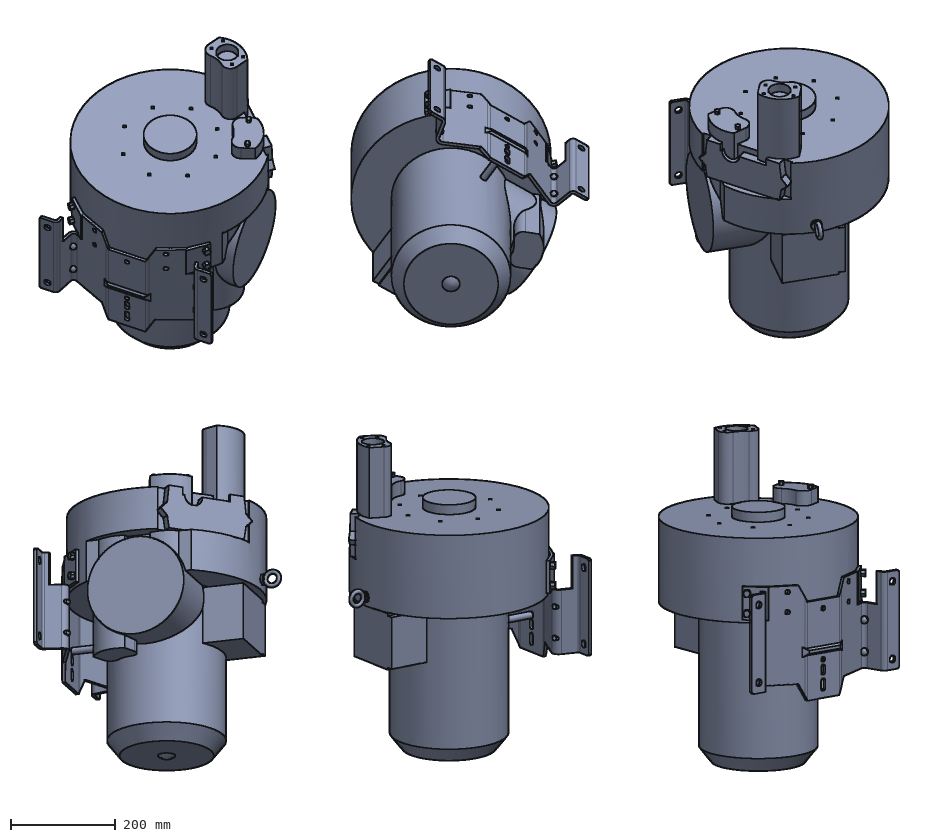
import cadquery as cq
import math

total_height = 626.0
joint_depth = 6.0
drum_radius = 191.0
drum_bottom = 320.0
drum_top = 486.0
hub_radius = 51.0
hub_top = 505.0
motor_radius = 114.0
motor_taper_top = 37.0
motor_end_radius = 90.0
motor_bottom = 7.0
tip_radius = 17.0
cover_hole_count = 8
cover_hole_circle = 96.0
cover_hole_diameter = 6.0
cover_hole_depth = 9.5

recess_floor = 401.0
recess_distance = 159.5
port_plate_thickness = 18.0
port_plate_half_length = 97.0
port_plate_tip_height = 439.5
port_plate_tip_chamfer = 14.0
port_plate_shoulder = 79.5
port_plate_top = 487.0
port_plate_saddle_top = 472.5
port_plate_saddle_half_length = 50.0
port_notch_offset = -27.5
port_notch_radius = 19.0
side_flat_x = 158.5

block_distance = 149.0
block_side_angle = 22.5
block_half_width = 40.0
block_outer_corner = 15.5
block_outer_crown = 30.0
block_lobe_radius = 18.0
block_lobe_bottom = 30.5
block_lobe_end_angle = 20.0
block_waist = 27.0
tall_bore_radius = 21.0
tall_bore_depth = 19.0
tall_hole_diameter = 5.0
tall_hole_depth = 12.5
tall_hole_pitch_across = 57.0
tall_hole_pitch_radial = 29.5
short_block_top = 515.0
short_bolt_offset = 32.0
short_bolt_diameter = 10.0
short_bolt_height = 7.0
lower_block_bottom = 174.5

cover_disc_radius = 97.5
cover_disc_height = 295.0
cover_disc_end = 177.0
terminal_bottom = 203.5
terminal_top = 315.5
terminal_back = 178.0
terminal_half_width = 62.5
terminal_lid_depth = 13.0
terminal_lid_inset = 4.5

eye_height = 340.0
eye_center_y = 214.0
eye_ring_radius = 14.0
eye_wire_radius = 4.5
eye_collar_radius = 10.5
eye_collar_start = 194.0
eye_collar_thickness = 4.5
eye_stem_radius = 4.5

sheet = 6.0
middle_y = -195.0
middle_half_width = 41.5
peak_x = 133.5
peak_y = -152.0
foot_bend_x = 146.0
foot_y = -202.0
foot_end_x = 181.0
wide_bend_radius = 7.5
foot_bend_radius = 4.0
wing_bottom = 198.5
wing_top = 392.0
middle_drop = 34.0
wing_inner_x = 56.0
middle_edge_x = 39.0
foot_corner = 4.0
notch_inner_x = 109.0
notch_outer_x = 150.0
notch_depth_y = -187.0
notch_bottom = 327.0
tab_start = -40.0
tab_end = 9.5
tab_thickness = 6.0
tab_overlap = 0.5
tab_bolt_diameter = 14.5
tab_bolt_height = 9.0
bolt_levels = (340.5, 380.0)
wing_hole_x = 75.0
wing_hole_diameter = 9.0
dimple_x = 130.0
dimple_levels = (230.5, 293.0)
dimple_bump_y = -161.0
dimple_bump_radius = 7.5
dimple_dent_y = -154.5
dimple_dent_radius = 5.0
foot_hole_x = 164.0
foot_hole_diameter = 14.0
foot_hole_levels = (219.0, 371.0)
middle_hole_diameter = 9.5
middle_hole_levels = (240.5, 340.5)
slot_width = 10.0
slots = ((220.5, 20.0), (191.0, 24.5))
ridge_level = 260.5
ridge_base = (97.5, 20.0)
ridge_crest = (76.5, 6.0)
ridge_height = 4.5
rod_radius = 7.0
rod_level = 239.0


def cylinder(radius, bottom, top, x=0.0):
    return cq.Workplane("XY", origin=(x, 0, bottom)).circle(radius).extrude(top - bottom)


def box(x_range, y_range, z_range):
    size = [high - low for low, high in (x_range, y_range, z_range)]
    corner = (x_range[0], y_range[0], z_range[0])
    return cq.Workplane("XY").box(*size, centered=False).translate(corner)


def sphere(radius, x, y, z):
    return cq.Workplane("XY", origin=(x, y, z)).sphere(radius)


def hole_through_y(x, z, diameter):
    """Round cutter along Y that reaches only the bracket sheet."""
    start = foot_y - sheet
    length = peak_y + sheet - start
    return cq.Workplane("XZ", origin=(x, start, z)).circle(diameter / 2).extrude(-length)


def turned_body():
    drum = cylinder(drum_radius, drum_bottom, drum_top)
    hub = cylinder(hub_radius, drum_top, hub_top)
    motor = (
        cq.Workplane("XZ")
        .moveTo(0, 0)
        .threePointArc((tip_radius / 2, motor_bottom / 4), (tip_radius, motor_bottom))
        .lineTo(motor_end_radius, motor_bottom)
        .lineTo(motor_radius, motor_taper_top)
        .lineTo(motor_radius, drum_bottom)
        .lineTo(0, drum_bottom)
        .close()
        .revolve(360, (0, 0, 0), (0, 1, 0))
    )
    holes = (
        cq.Workplane("XY", origin=(0, 0, drum_top - cover_hole_depth))
        .polarArray(cover_hole_circle, 0, 360, cover_hole_count)
        .circle(cover_hole_diameter / 2)
        .extrude(cover_hole_depth)
    )
    flat = box((side_flat_x, drum_radius), (-drum_radius, drum_radius), (drum_bottom, recess_floor))
    half = port_plate_half_length
    recess = box((recess_distance, drum_radius), (-half, half), (recess_floor, drum_top))
    recess = recess.rotate((0, 0, 0), (0, 0, 1), 45)
    return drum.cut(flat).cut(recess).union(hub).union(motor).cut(holes)


def port_plate():
    """Plate with pointed ends, a lower saddle and a round notch, turned to face +X +Y."""
    tip_base = port_plate_half_length - port_plate_tip_chamfer
    right_edge = [
        (port_plate_shoulder, recess_floor),
        (tip_base, port_plate_tip_height - port_plate_tip_chamfer),
        (port_plate_half_length, port_plate_tip_height),
        (tip_base, port_plate_tip_height + port_plate_tip_chamfer),
        (port_plate_shoulder, port_plate_top),
        (port_plate_saddle_half_length, port_plate_top),
        (port_plate_saddle_half_length, port_plate_saddle_top),
    ]
    left_edge = [(-y, z) for y, z in reversed(right_edge)]
    face = cq.Workplane("YZ", origin=(recess_distance, 0, 0))
    plate = face.polyline(right_edge + left_edge).close().extrude(port_plate_thickness)
    notch = (
        face.center(port_notch_offset, port_plate_saddle_top)
        .circle(port_notch_radius)
        .extrude(port_plate_thickness)
    )
    return plate.cut(notch).rotate((0, 0, 0), (0, 0, 1), 45)


def block_outline(bottom):
    """Bean outline on the +X axis: crowned outside, two lobes joined by a waist inside."""
    lobe_y = block_half_width - block_lobe_radius
    lobe_x = block_lobe_radius - block_lobe_bottom

    def on_lobe(degrees):
        angle = math.radians(degrees)
        x = lobe_x - block_lobe_radius * math.cos(angle)
        return (x, lobe_y - block_lobe_radius * math.sin(angle))

    lobe_side = (lobe_x, block_half_width)
    lobe_middle = on_lobe(-45)
    lobe_end = on_lobe(block_lobe_end_angle)

    def mirrored(point):
        return (point[0], -point[1])

    return (
        cq.Workplane("XY", origin=(block_distance, 0, bottom))
        .moveTo(block_outer_corner, -block_half_width)
        .threePointArc((block_outer_crown, 0), (block_outer_corner, block_half_width))
        .lineTo(*lobe_side)
        .threePointArc(lobe_middle, lobe_end)
        .threePointArc((-block_waist, 0), mirrored(lobe_end))
        .threePointArc(mirrored(lobe_middle), mirrored(lobe_side))
        .close()
    )


def tall_block():
    block = block_outline(drum_bottom).extrude(total_height - drum_bottom)
    bore = cylinder(tall_bore_radius, total_height - tall_bore_depth, total_height, block_distance)
    holes = (
        cq.Workplane("XY", origin=(block_distance, 0, total_height))
        .rect(tall_hole_pitch_radial, tall_hole_pitch_across, forConstruction=True)
        .vertices()
        .circle(tall_hole_diameter / 2)
        .extrude(-tall_hole_depth)
    )
    return block.cut(bore).cut(holes).rotate((0, 0, 0), (0, 0, 1), 45 + block_side_angle)


def short_block():
    block = block_outline(drum_bottom).extrude(short_block_top - drum_bottom)
    bolts = (
        cq.Workplane("XY", origin=(block_distance, 0, short_block_top))
        .pushPoints([(0, -short_bolt_offset), (0, short_bolt_offset)])
        .polygon(6, short_bolt_diameter)
        .extrude(short_bolt_height)
    )
    return block.union(bolts).rotate((0, 0, 0), (0, 0, 1), 45 - block_side_angle)


def lower_block():
    """Block below the drum, on the other side of the X axis from the short block."""
    block = block_outline(lower_block_bottom).extrude(recess_floor - lower_block_bottom)
    return block.rotate((0, 0, 0), (0, 0, 1), block_side_angle - 45)


def cover_disc():
    """Round cover on the +X side of the motor."""
    start = motor_radius / 2
    return (
        cq.Workplane("YZ", origin=(start, 0, cover_disc_height))
        .circle(cover_disc_radius)
        .extrude(cover_disc_end - start)
    )


def terminal_box():
    """Box on the +Y side of the motor with a slightly lower lid on its -X face."""
    y_range = (0, terminal_back)
    body_start = terminal_lid_depth - terminal_half_width
    body = box((body_start, terminal_half_width), y_range, (terminal_bottom, terminal_top))
    lid_range = (terminal_bottom + terminal_lid_inset, terminal_top - terminal_lid_inset)
    lid = box((-terminal_half_width, body_start), y_range, lid_range)
    return body.union(lid)


def lifting_eye():
    ring_center = (0, eye_center_y, eye_height)
    ring = cq.Workplane(
        cq.Solid.makeTorus(eye_ring_radius, eye_wire_radius, cq.Vector(*ring_center), cq.Vector(1, 0, 0))
    )
    stem_start = drum_radius - joint_depth
    stem_length = eye_center_y - eye_ring_radius - stem_start
    stem = (
        cq.Workplane("XZ", origin=(0, stem_start, eye_height))
        .circle(eye_stem_radius)
        .extrude(-stem_length)
    )
    collar = (
        cq.Workplane("XZ", origin=(0, eye_collar_start, eye_height))
        .circle(eye_collar_radius)
        .extrude(-eye_collar_thickness)
    )
    return ring.union(stem).union(collar)


def offset_path(path, distance):
    """Shift an open path sideways by a distance, with mitred corners."""
    angles = [math.atan2(b[1] - a[1], b[0] - a[0]) for a, b in zip(path, path[1:])]
    before = [angles[0]] + angles
    after = angles + [angles[-1]]
    shifted = []
    for (x, y), first, second in zip(path, before, after):
        direction = (first + second) / 2 + math.pi / 2
        reach = distance / math.cos((second - first) / 2)
        shifted.append((x + reach * math.cos(direction), y + reach * math.sin(direction)))
    return shifted


def bracket_sheet():
    right_side = [
        (middle_half_width, middle_y),
        (peak_x, peak_y),
        (foot_bend_x, foot_y),
        (foot_end_x, foot_y),
    ]
    path = [(-x, y) for x, y in reversed(right_side)] + right_side
    upper = offset_path(path, sheet / 2)
    lower = offset_path(path, -sheet / 2)
    middle_bottom = wing_bottom - middle_drop
    bent = (
        cq.Workplane("XY", origin=(0, 0, middle_bottom))
        .polyline(upper + lower[::-1])
        .close()
        .extrude(wing_top - middle_bottom)
    )

    bends = ((1, foot_bend_radius, upper), (2, wide_bend_radius, lower), (3, wide_bend_radius, upper))
    for index, radius, inner_face in bends:
        for corner in (index, len(path) - 1 - index):
            for face in (upper, lower):
                edge_point = (*face[corner], (middle_bottom + wing_top) / 2)
                face_radius = radius if face is inner_face else radius + sheet
                bent = bent.edges(cq.NearestToPointSelector(edge_point)).fillet(face_radius)

    right_edge = [
        (middle_edge_x, middle_bottom),
        (wing_inner_x, wing_bottom),
        (foot_end_x - foot_corner, wing_bottom),
        (foot_end_x, wing_bottom + foot_corner),
        (foot_end_x, wing_top - foot_corner),
        (foot_end_x - foot_corner, wing_top),
        (wing_inner_x, wing_top),
        (middle_edge_x, wing_top - middle_drop),
    ]
    left_edge = [(-x, z) for x, z in reversed(right_edge)]
    panel = (
        cq.Workplane("XZ", origin=(0, foot_y - sheet, 0))
        .polyline(right_edge + left_edge)
        .close()
        .extrude(foot_y - peak_y - 2 * sheet)
    )
    return bent.intersect(panel)


def bracket_tab():
    """Flat tab that touches the drum, with two bolts; drawn on +X and turned to +X -Y."""
    outer = drum_radius + tab_thickness
    tab = box((drum_radius - tab_overlap, outer), (tab_start, tab_end), (notch_bottom, wing_top))
    for level in bolt_levels:
        bolt = (
            cq.Workplane("YZ", origin=(outer, 0, level))
            .polygon(6, tab_bolt_diameter)
            .extrude(tab_bolt_height)
        )
        tab = tab.union(bolt)
    return tab.rotate((0, 0, 0), (0, 0, 1), -45)


def bracket():
    body = bracket_sheet()
    right_notch = box((notch_inner_x, notch_outer_x), (notch_depth_y, 0), (notch_bottom, wing_top))
    for notch in (right_notch, right_notch.mirror("YZ")):
        body = body.cut(notch)
    for side in (-1, 1):
        for level in bolt_levels:
            body = body.cut(hole_through_y(side * wing_hole_x, level, wing_hole_diameter))
        for level in dimple_levels:
            bump = sphere(dimple_bump_radius, side * dimple_x, dimple_bump_y, level)
            dent = sphere(dimple_dent_radius, side * dimple_x, dimple_dent_y, level)
            body = body.union(bump).cut(dent)
        for level in foot_hole_levels:
            body = body.cut(hole_through_y(side * foot_hole_x, level, foot_hole_diameter))
    for level in middle_hole_levels:
        body = body.cut(hole_through_y(0, level, middle_hole_diameter))
    for level, length in slots:
        slot = (
            cq.Workplane("XZ", origin=(0, foot_y - sheet, level))
            .slot2D(length, slot_width, 90)
            .extrude(foot_y - peak_y)
        )
        body = body.cut(slot)
    ridge = (
        cq.Workplane("XZ", origin=(0, middle_y, ridge_level))
        .rect(*ridge_base)
        .workplane(offset=sheet / 2 + ridge_height)
        .rect(*ridge_crest)
        .loft(combine=True)
    )
    rod_start = middle_y + sheet / 2
    rod = (
        cq.Workplane("XZ", origin=(0, rod_start, rod_level))
        .circle(rod_radius)
        .extrude(rod_start + motor_radius - joint_depth)
    )
    right_tab = bracket_tab()
    return body.union(ridge).union(rod).union(right_tab).union(right_tab.mirror("YZ"))


result = (
    turned_body()
    .union(port_plate())
    .union(tall_block())
    .union(short_block())
    .union(lower_block())
    .union(cover_disc())
    .union(terminal_box())
    .union(lifting_eye())
    .union(bracket())
)